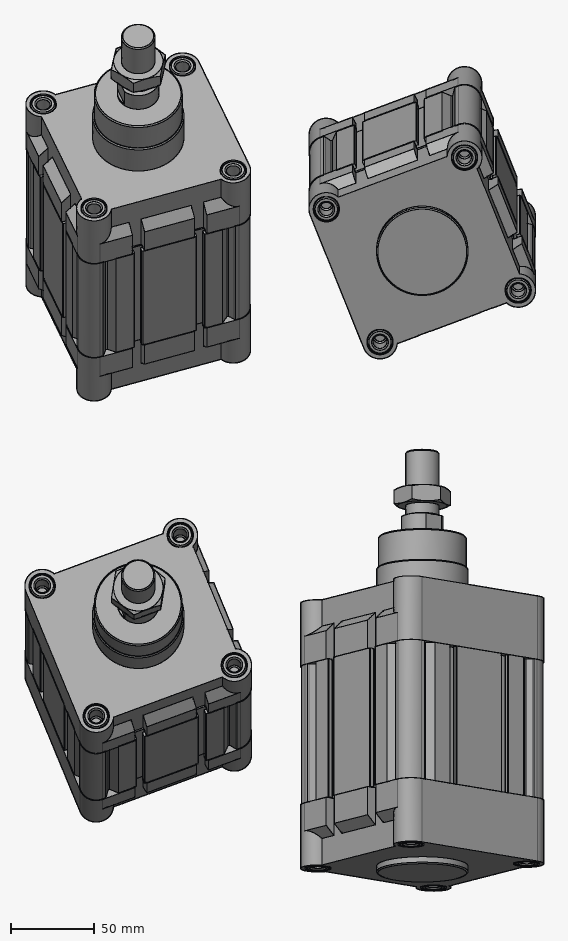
import cadquery as cq
import math


TOTAL_HEIGHT = 258.0
BASE_BOSS_HEIGHT = 4.0
COVER_HEIGHT = 39.0
BARREL_HEIGHT = 85.0
NECK_BOSS_HEIGHT = 19.9
COLLAR_HEIGHT = 19.0
SHANK_HEIGHT = 12.5

BARREL_BOTTOM = BASE_BOSS_HEIGHT + COVER_HEIGHT
BARREL_TOP = BARREL_BOTTOM + BARREL_HEIGHT
BODY_TOP = BARREL_TOP + COVER_HEIGHT
NECK_TOP = BODY_TOP + NECK_BOSS_HEIGHT
COLLAR_TOP = NECK_TOP + COLLAR_HEIGHT
SHANK_TOP = COLLAR_TOP + SHANK_HEIGHT

BODY_WIDTH = 110.0
HALF_WIDTH = BODY_WIDTH / 2
CORE_WIDTH = 98.0
COLUMN_DIAMETER = 21.0
COLUMN_OFFSET = HALF_WIDTH - COLUMN_DIAMETER / 2
RIB_HEIGHT = 22.7
RIB_STRAIGHT_HEIGHT = 17.3
RIB_ROOT = 2.5
RIB_GAP_INNER = 16.0
RIB_GAP_OUTER = 23.7
RIBBED_SIDES = (0, 1, 3)

BOLT_RECESS_DIAMETER = 15.7
BOLT_HEAD_DIAMETER = 15.0
BOLT_HEAD_CHAMFER = 0.8
BOLT_RECESS_DEPTH = 1.3
SOCKET_MOUTH_DIAMETER = 10.0
SOCKET_DIAMETER = 8.3
SOCKET_TIP_DIAMETER = 6.5
SOCKET_DEPTH = 13.0

BARREL_INSET = 0.39
BARREL_HALF_WIDTH = HALF_WIDTH - BARREL_INSET
SLOT_OFFSET = 19.9
SLOT_NECK_WIDTH = 4.6
SLOT_WIDTH = 8.3
SLOT_EDGE_CHAMFER = 0.5
SLOT_LIP = 2.8
SLOT_DEPTH = 4.6
GROOVE_INNER = 34.0
GROOVE_FLOOR_INNER = 38.2
GROOVE_FLOOR_OUTER = 39.2
GROOVE_OUTER = 41.5
GROOVE_DEPTH = 4.0
GROOVE_EDGE_CHAMFER = 0.8

BOSS_DIAMETER = 55.0
COLLAR_DIAMETER = 53.0
BOSS_CHAMFER = 0.8
SHANK_DIAMETER = 25.0
SHANK_ACROSS_FLATS = 22.0
FLAT_HEIGHT = 11.0
THREAD_DIAMETER = 20.0
THREAD_CHAMFER = 0.8
NUT_ACROSS_FLATS = 30.0
NUT_THICKNESS = 10.0
NUT_BOTTOM = 225.2
NUT_CHAMFER_HEIGHT = 1.0
NUT_FACE_DIAMETER = 29.7


def cylinder(diameter, bottom, top):
    return cq.Workplane("XY").workplane(offset=bottom).circle(diameter / 2).extrude(top - bottom)


def corner_points(offset):
    return [(x, y) for x in (-offset, offset) for y in (-offset, offset)]


def rib(start, end):
    """Rib on the -Y side of the top cover from X = start to X = end, with a sloped top."""
    core_half = CORE_WIDTH / 2
    inside = core_half - RIB_ROOT
    profile = [
        (-HALF_WIDTH, BARREL_TOP),
        (-HALF_WIDTH, BARREL_TOP + RIB_STRAIGHT_HEIGHT),
        (-core_half, BARREL_TOP + RIB_HEIGHT),
        (-inside, BARREL_TOP + RIB_HEIGHT),
        (-inside, BARREL_TOP),
    ]
    return cq.Workplane("YZ").workplane(offset=start).polyline(profile).close().extrude(end - start)


def bolt_end_cutters():
    """Two cutters at the body top: the ring gap around a chamfered bolt head, and its socket."""
    recess_floor = BODY_TOP - BOLT_RECESS_DEPTH
    head = cylinder(BOLT_HEAD_DIAMETER, recess_floor, BODY_TOP)
    head = head.faces(">Z").chamfer(BOLT_HEAD_CHAMFER)
    gap = cylinder(BOLT_RECESS_DIAMETER, recess_floor, BODY_TOP).cut(head)
    mouth_depth = (SOCKET_MOUTH_DIAMETER - SOCKET_DIAMETER) / 2
    tip_height = (SOCKET_DIAMETER - SOCKET_TIP_DIAMETER) / 2
    socket = (
        cq.Workplane("XZ")
        .moveTo(0, BODY_TOP)
        .lineTo(SOCKET_MOUTH_DIAMETER / 2, BODY_TOP)
        .lineTo(SOCKET_DIAMETER / 2, BODY_TOP - mouth_depth)
        .lineTo(SOCKET_DIAMETER / 2, BODY_TOP - SOCKET_DEPTH + tip_height)
        .lineTo(SOCKET_TIP_DIAMETER / 2, BODY_TOP - SOCKET_DEPTH)
        .lineTo(0, BODY_TOP - SOCKET_DEPTH)
        .close()
        .revolve(360, (0, 0), (0, 1))
    )
    return gap, socket


def make_cover():
    """Top end cover: square core, corner columns, ribs on three sides, a flat +Y pad and bolt ends."""
    seam_plane = cq.Workplane("XY").workplane(offset=BARREL_TOP)
    cover = seam_plane.rect(CORE_WIDTH, CORE_WIDTH).extrude(COVER_HEIGHT)
    for x, y in corner_points(COLUMN_OFFSET):
        cover = cover.union(cylinder(COLUMN_DIAMETER, BARREL_TOP, BODY_TOP).translate((x, y, 0)))
    rib_spans = [
        (-COLUMN_OFFSET, -RIB_GAP_OUTER),
        (-RIB_GAP_INNER, RIB_GAP_INNER),
        (RIB_GAP_OUTER, COLUMN_OFFSET),
    ]
    for side in RIBBED_SIDES:
        for start, end in rib_spans:
            cover = cover.union(rib(start, end).rotate((0, 0, 0), (0, 0, 1), 90 * side))
    pad = seam_plane.center(0, HALF_WIDTH / 2).rect(2 * COLUMN_OFFSET, HALF_WIDTH).extrude(COVER_HEIGHT)
    cover = cover.union(pad)
    for x, y in corner_points(COLUMN_OFFSET):
        for cutter in bolt_end_cutters():
            cover = cover.cut(cutter.translate((x, y, 0)))
    return cover


def make_barrel():
    """Barrel extrusion with two T-slots and two V grooves on every side."""
    barrel = (
        cq.Workplane("XY")
        .workplane(offset=BARREL_BOTTOM)
        .rect(2 * BARREL_HALF_WIDTH, 2 * BARREL_HALF_WIDTH)
        .extrude(BARREL_HEIGHT)
        .edges("|Z")
        .fillet(BARREL_HALF_WIDTH - COLUMN_OFFSET)
    )
    face = -BARREL_HALF_WIDTH
    neck = SLOT_NECK_WIDTH / 2
    mouth = neck + SLOT_EDGE_CHAMFER
    slot = [
        (SLOT_OFFSET - mouth, face),
        (SLOT_OFFSET - neck, face + SLOT_EDGE_CHAMFER),
        (SLOT_OFFSET - neck, face + SLOT_LIP),
        (SLOT_OFFSET - SLOT_WIDTH / 2, face + SLOT_LIP),
        (SLOT_OFFSET - SLOT_WIDTH / 2, face + SLOT_DEPTH),
        (SLOT_OFFSET + SLOT_WIDTH / 2, face + SLOT_DEPTH),
        (SLOT_OFFSET + SLOT_WIDTH / 2, face + SLOT_LIP),
        (SLOT_OFFSET + neck, face + SLOT_LIP),
        (SLOT_OFFSET + neck, face + SLOT_EDGE_CHAMFER),
        (SLOT_OFFSET + mouth, face),
    ]
    groove = [
        (GROOVE_INNER, face),
        (GROOVE_FLOOR_INNER, face + GROOVE_DEPTH),
        (GROOVE_FLOOR_OUTER, face + GROOVE_DEPTH),
        (GROOVE_OUTER, face + GROOVE_EDGE_CHAMFER),
        (GROOVE_OUTER + GROOVE_EDGE_CHAMFER, face),
    ]
    for outline in (slot, groove):
        base = cq.Workplane("XY").workplane(offset=BARREL_BOTTOM)
        right = base.polyline(outline).close().extrude(BARREL_HEIGHT)
        for cutter in (right, right.mirror("YZ")):
            for side in range(4):
                barrel = barrel.cut(cutter.rotate((0, 0, 0), (0, 0, 1), 90 * side))
    return barrel


def make_housing():
    """Barrel between two mirrored covers, with the base boss, neck boss and collar."""
    cover = make_cover()
    middle = (BARREL_BOTTOM + BARREL_TOP) / 2
    base_boss = cylinder(BOSS_DIAMETER, 0, BASE_BOSS_HEIGHT).faces("<Z").chamfer(BOSS_CHAMFER)
    neck_boss = cylinder(BOSS_DIAMETER, BODY_TOP, NECK_TOP).faces(">Z").chamfer(BOSS_CHAMFER)
    collar = cylinder(COLLAR_DIAMETER, NECK_TOP, COLLAR_TOP).faces(">Z").chamfer(BOSS_CHAMFER)
    return (
        make_barrel()
        .union(cover)
        .union(cover.mirror("XY", (0, 0, middle)))
        .union(base_boss)
        .union(neck_boss)
        .union(collar)
    )


def make_rod():
    """Rod standing on the collar: shank with two wrench flats, then the thread with chamfered ends."""
    shank = cylinder(SHANK_DIAMETER, COLLAR_TOP, SHANK_TOP)
    flats = (
        cq.Workplane("XY")
        .workplane(offset=SHANK_TOP - FLAT_HEIGHT)
        .rect(SHANK_DIAMETER, 2 * SHANK_DIAMETER)
        .rect(SHANK_DIAMETER, SHANK_ACROSS_FLATS)
        .extrude(FLAT_HEIGHT)
    )
    thread = cylinder(THREAD_DIAMETER, SHANK_TOP, TOTAL_HEIGHT).faces("<Z or >Z").chamfer(THREAD_CHAMFER)
    return shank.cut(flats).union(thread)


def make_nut():
    """Hexagon lock nut, corners on the Y axis, with both rims turned to a cone."""
    across_corners = NUT_ACROSS_FLATS / math.cos(math.radians(30))
    hexagon = (
        cq.Workplane("XY")
        .workplane(offset=NUT_BOTTOM)
        .polygon(6, across_corners)
        .extrude(NUT_THICKNESS)
        .rotate((0, 0, 0), (0, 0, 1), 30)
    )
    rim_width = (across_corners - NUT_FACE_DIAMETER) / 2
    turned = (
        cylinder(across_corners, NUT_BOTTOM, NUT_BOTTOM + NUT_THICKNESS)
        .faces("<Z or >Z")
        .chamfer(NUT_CHAMFER_HEIGHT, rim_width)
    )
    bore = cylinder(THREAD_DIAMETER, NUT_BOTTOM, NUT_BOTTOM + NUT_THICKNESS)
    return hexagon.intersect(turned).cut(bore)


housing = make_housing()
rod = make_rod()
nut = make_nut()

result = cq.Compound.makeCompound([housing.val(), rod.val(), nut.val()])